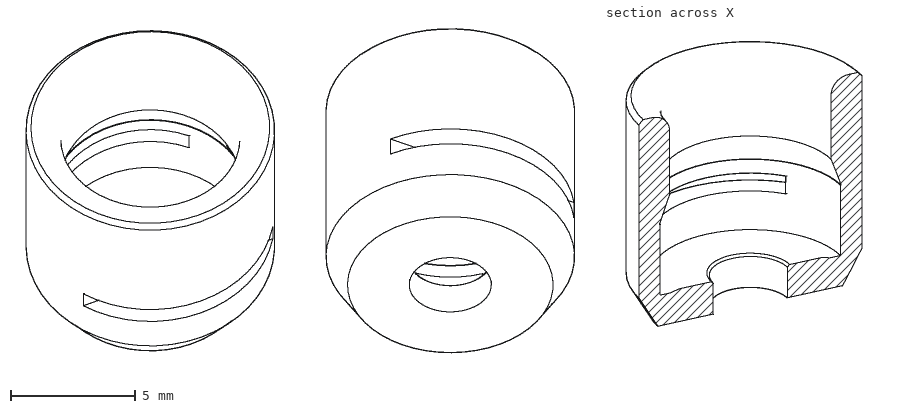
import cadquery as cq
import math

outer_radius = 5.0
height = 9.5
rim_chamfer = 0.2
nose_height = 1.5
nose_angle = 30.0
nose_radius = outer_radius - nose_height * math.tan(math.radians(nose_angle))

bore_radius = 7.19 / 2
mouth_radius = 0.8
bore_bottom = 5.85

flare_radius = 8.1 / 2
chamber_radius = 4.02
ledge_height = 4.58

floor_height = 1.5
floor_radius = 3.2
skirt_radius = 3.56
skirt_angle = 15.0
skirt_drop = (skirt_radius - floor_radius) * math.tan(math.radians(skirt_angle))
hole_radius = 3.3 / 2
hole_chamfer = 0.1

slot_bottom = 3.15
slot_height = 0.8
slot_inner_x = 2.77


def make_body():
    """Revolve the half section, including the stepped cavity, about Z."""
    mouth_center_r = bore_radius + mouth_radius
    mouth_center_z = height - mouth_radius
    mouth_offset = mouth_radius * math.sqrt(0.5)
    section = (
        cq.Workplane("XZ")
        .moveTo(hole_radius, 0)
        .lineTo(nose_radius, 0)
        .lineTo(outer_radius, nose_height)
        .lineTo(outer_radius, height - rim_chamfer)
        .lineTo(outer_radius - rim_chamfer, height)
        .lineTo(mouth_center_r, height)
        .threePointArc(
            (mouth_center_r - mouth_offset, mouth_center_z + mouth_offset),
            (bore_radius, mouth_center_z),
        )
        .lineTo(bore_radius, bore_bottom)
        .lineTo(flare_radius, ledge_height)
        .lineTo(chamber_radius, ledge_height)
        .lineTo(chamber_radius, floor_height - skirt_drop)
        .lineTo(skirt_radius, floor_height - skirt_drop)
        .lineTo(floor_radius, floor_height)
        .lineTo(hole_radius + hole_chamfer, floor_height)
        .lineTo(hole_radius, floor_height - hole_chamfer)
        .close()
    )
    return section.revolve(360, (0, 0, 0), (0, 1, 0))


def make_slot(side):
    """Box that cuts one side wall; side is -1 or +1 along X."""
    depth = outer_radius - slot_inner_x
    return (
        cq.Workplane("XY")
        .box(depth, 2 * outer_radius, slot_height, centered=(True, True, False))
        .translate((side * (slot_inner_x + depth / 2), 0, slot_bottom))
    )


result = make_body()
for side in (-1, 1):
    result = result.cut(make_slot(side))